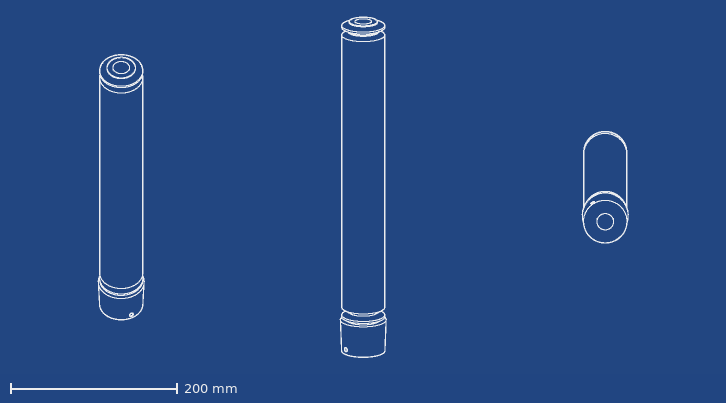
import cadquery as cq

total_height = 417.0
bore_diameter = 20.0

foot_top_radius = 27.73
foot_bottom_radius = 26.3
foot_height = 39.0

body_radius = 52.0 / 2
body_bottom = 55.0
body_top = 400.0
collar_rim_height = 2.5
lower_collar_bottom = 43.0
upper_collar_bottom = 409.5

foot_neck_radius = 20.0
lower_neck_radius = 34.0 / 2
lower_neck_height = 49.0
upper_neck_radius = 18.5
upper_neck_bottom = 404.0
upper_neck_top = 405.3
top_face_radius = 34.0 / 2
top_lip_height = 1.3

pin_diameter = 5.0
pin_height = 6.5
pin_reach = 27.0


def make_column():
    """Revolve the outer half profile about Z."""
    profile = [
        (0, 0),
        (foot_bottom_radius, 0),
        (foot_top_radius, foot_height),
        (foot_neck_radius, foot_height),
        (body_radius, lower_collar_bottom),
        (body_radius, lower_collar_bottom + collar_rim_height),
        (lower_neck_radius, lower_neck_height),
        (body_radius, body_bottom),
        (body_radius, body_top),
        (upper_neck_radius, upper_neck_bottom),
        (upper_neck_radius, upper_neck_top),
        (body_radius, upper_collar_bottom),
        (body_radius, upper_collar_bottom + collar_rim_height),
        (top_face_radius, total_height - top_lip_height),
        (top_face_radius, total_height),
        (0, total_height),
    ]
    return cq.Workplane("XZ").polyline(profile).close().revolve(360, (0, 0), (0, 1))


def make_pins():
    """One rod along X whose ends stand out of the foot on both sides."""
    return (
        cq.Workplane("YZ")
        .center(0, pin_height)
        .circle(pin_diameter / 2)
        .extrude(pin_reach, both=True)
    )


bore = cq.Workplane("XY").circle(bore_diameter / 2).extrude(total_height)

result = make_column().union(make_pins()).cut(bore)